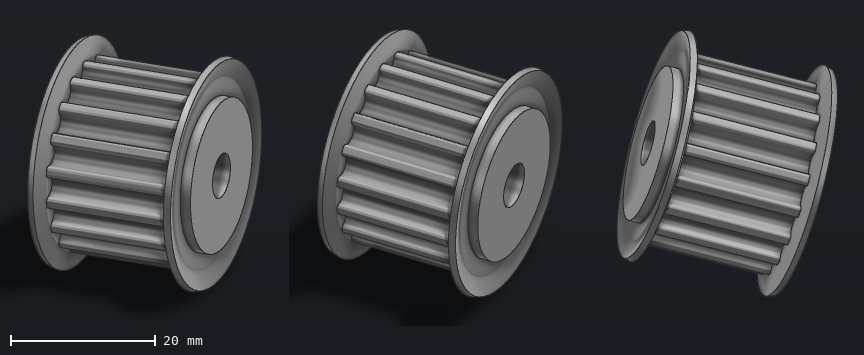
import cadquery as cq
import math

overall_length = 23.0
bore_diameter = 6.35
hub_diameter = 22.0

tooth_count = 18
tip_radius = 13.75
groove_radius = 1.5
groove_center_radius = 13.17
tooth_round_radius = 0.53

flange_spacing = 17.95
flange_radius = 16.5
flange_thickness = 1.0
flange_tilt = math.radians(16)


def polar(radius, angle):
    """Point at the given distance and angle from the pulley axis."""
    return (radius * math.cos(angle), radius * math.sin(angle))


def cylinder(diameter, length):
    """Solid cylinder on the X axis, centered on the origin."""
    return cq.Workplane("YZ").circle(diameter / 2).extrude(length / 2, both=True)


def toothed_drum():
    """Drum with round grooves that run smoothly into rounded tooth corners."""
    pitch_angle = 2 * math.pi / tooth_count

    round_center_radius = tip_radius - tooth_round_radius
    center_distance = groove_radius + tooth_round_radius
    round_angle = math.acos(
        (round_center_radius**2 + groove_center_radius**2 - center_distance**2)
        / (2 * round_center_radius * groove_center_radius)
    )
    round_x, round_y = polar(round_center_radius, round_angle)

    groove_share = groove_radius / center_distance
    tangent_x = groove_center_radius + (round_x - groove_center_radius) * groove_share
    tangent_y = round_y * groove_share
    tangent_radius = math.hypot(tangent_x, tangent_y)
    tangent_angle = math.atan2(tangent_y, tangent_x)

    to_tangent = math.atan2(tangent_y - round_y, tangent_x - round_x) % (2 * math.pi)
    middle_direction = (round_angle + to_tangent - 2 * math.pi) / 2
    middle_x = round_x + tooth_round_radius * math.cos(middle_direction)
    middle_y = round_y + tooth_round_radius * math.sin(middle_direction)
    middle_radius = math.hypot(middle_x, middle_y)
    middle_angle = math.atan2(middle_y, middle_x)

    groove_bottom_radius = groove_center_radius - groove_radius

    outline = cq.Workplane("YZ").moveTo(*polar(tip_radius, -round_angle))
    for index in range(tooth_count):
        groove = index * pitch_angle
        outline = (
            outline
            .threePointArc(
                polar(middle_radius, groove - middle_angle),
                polar(tangent_radius, groove - tangent_angle),
            )
            .threePointArc(
                polar(groove_bottom_radius, groove),
                polar(tangent_radius, groove + tangent_angle),
            )
            .threePointArc(
                polar(middle_radius, groove + middle_angle),
                polar(tip_radius, groove + round_angle),
            )
            .threePointArc(
                polar(tip_radius, groove + pitch_angle / 2),
                polar(tip_radius, groove + pitch_angle - round_angle),
            )
        )
    return outline.close().extrude(flange_spacing / 2, both=True)


def flange():
    """Flange at the +X end: a flat disc with a rim tilted away from the teeth."""
    inner_face = flange_spacing / 2
    outer_face = inner_face + flange_thickness
    outer_bend_radius = tip_radius - flange_thickness * math.tan(flange_tilt / 2)
    rim_x = inner_face + (flange_radius - tip_radius) * math.tan(flange_tilt)
    rim_outer_x = rim_x + flange_thickness * math.cos(flange_tilt)
    rim_outer_radius = flange_radius - flange_thickness * math.sin(flange_tilt)
    section = [
        (inner_face, 0),
        (inner_face, tip_radius),
        (rim_x, flange_radius),
        (rim_outer_x, rim_outer_radius),
        (outer_face, outer_bend_radius),
        (outer_face, 0),
    ]
    return cq.Workplane("XY").polyline(section).close().revolve(360, (0, 0, 0), (1, 0, 0))


right_flange = flange()
left_flange = right_flange.mirror("YZ")
hub = cylinder(hub_diameter, overall_length)
bore = cylinder(bore_diameter, overall_length)

result = toothed_drum().union(hub).union(right_flange).union(left_flange).cut(bore)